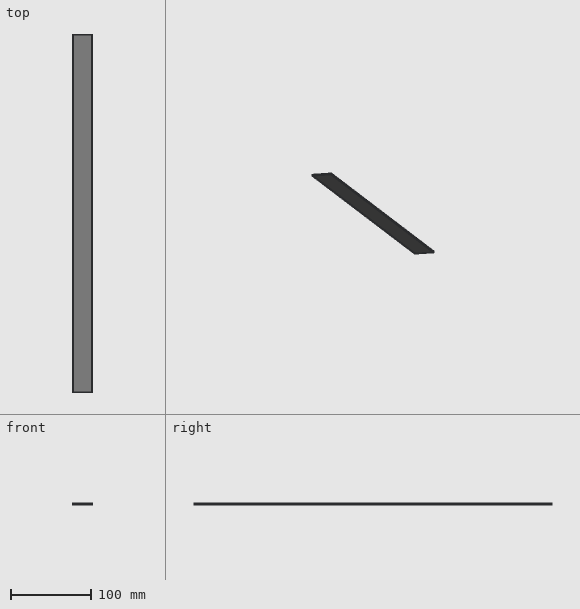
import cadquery as cq

width = 24.0
length = 445.0
thickness = 1.5

result = cq.Workplane("XY").box(width, length, thickness)